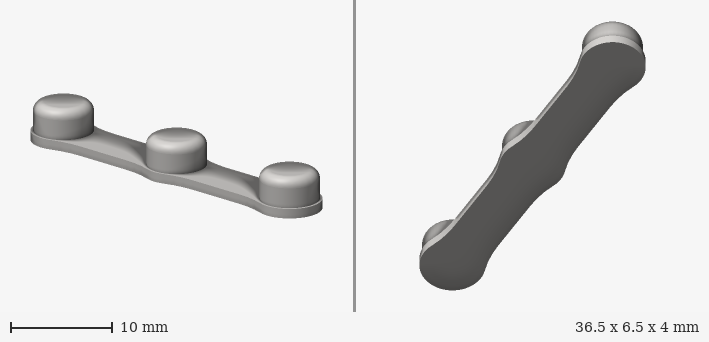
import cadquery as cq
import math

length = 36.5
pad_diameter = 6.5
neck_width = 5.0
blend_radius = 10.0
plate_thickness = 1.0
total_height = 4.0
button_diameter = 6.0
button_edge_radius = 1.0

pad_radius = pad_diameter / 2
pitch = (length - pad_diameter) / 2
pad_positions = [-pitch, 0, pitch]

blend_center_y = neck_width / 2 + blend_radius
blend_center_x = math.sqrt((pad_radius + blend_radius) ** 2 - blend_center_y ** 2)
blend_angle = math.atan2(blend_center_y, blend_center_x)
tangent_x = pad_radius * math.cos(blend_angle)
tangent_y = pad_radius * math.sin(blend_angle)

middle_angle = (blend_angle + math.pi / 2) / 2
middle_x = blend_center_x - blend_radius * math.cos(middle_angle)
middle_y = blend_center_y - blend_radius * math.sin(middle_angle)


def make_pad(x):
    """Round plate end or centre under a button."""
    return cq.Workplane("XY").center(x, 0).circle(pad_radius).extrude(plate_thickness)


def make_neck(x):
    """Waisted plate section from the pad at x to the next pad."""
    half_width = neck_width / 2
    return (
        cq.Workplane("XY")
        .center(x, 0)
        .moveTo(tangent_x, tangent_y)
        .threePointArc((middle_x, middle_y), (blend_center_x, half_width))
        .lineTo(pitch - blend_center_x, half_width)
        .threePointArc((pitch - middle_x, middle_y), (pitch - tangent_x, tangent_y))
        .lineTo(pitch - tangent_x, -tangent_y)
        .threePointArc((pitch - middle_x, -middle_y), (pitch - blend_center_x, -half_width))
        .lineTo(blend_center_x, -half_width)
        .threePointArc((middle_x, -middle_y), (tangent_x, -tangent_y))
        .close()
        .extrude(plate_thickness)
    )


def make_button(x):
    """Cylindrical button with a rounded top edge, standing on the plate."""
    return (
        cq.Workplane("XY", origin=(x, 0, plate_thickness))
        .circle(button_diameter / 2)
        .extrude(total_height - plate_thickness)
        .faces(">Z")
        .edges()
        .fillet(button_edge_radius)
    )


result = make_pad(pad_positions[0])
for position in pad_positions[1:]:
    result = result.union(make_pad(position))
for position in pad_positions[:-1]:
    result = result.union(make_neck(position))

for position in pad_positions:
    result = result.union(make_button(position))